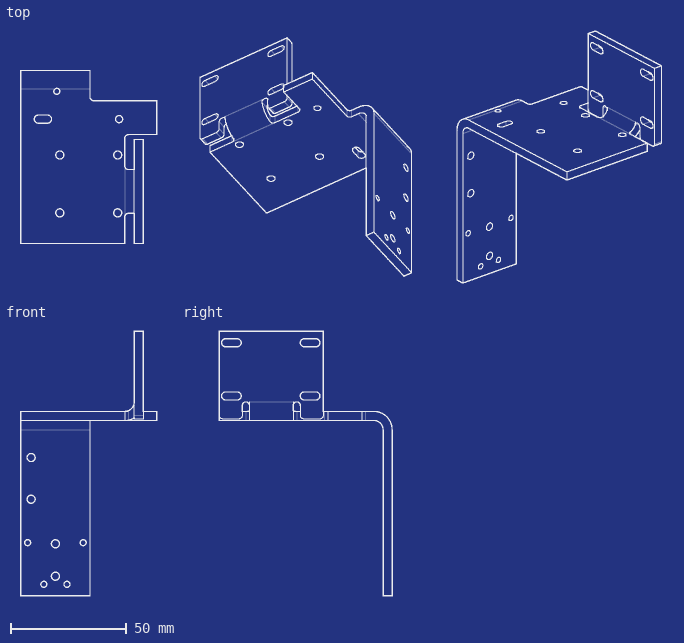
import cadquery as cq
import math

thickness = 4.0
inner_bend = 4.0
outer_bend = inner_bend + thickness
relief_radius = 1.5

plate_width = 45.0
overall_depth = 74.75
plate_top = 79.75
plate_bottom = plate_top - thickness
wing_end = 58.8
wing_front = 47.0
wing_back = 61.75

leg_width = 30.0

overall_height = 114.35
tab_length = 45.0
tab_bottom = 76.5
tab_inner = plate_width + inner_bend
tab_outer = tab_inner + thickness
strip_width = 19.0
relief_width = 2 * relief_radius
strip_start = (tab_length - strip_width) / 2
strip_end = strip_start + strip_width
relief_top = plate_top + inner_bend

screw_hole = 3.4
pin_hole = 2.5
wing_hole = 3.0

leg_center = leg_width / 2
leg_screw_points = [(4.5, 59.75), (4.5, 41.75), (leg_center, 22.5), (leg_center, 8.5)]
leg_upper_pin_z = 23.0
leg_upper_pin_offset = 12.0
leg_lower_pin_z = 5.0
leg_lower_pin_offset = 5.0

plate_hole_pitch = 25.0
plate_hole_center = (29.4, 25.75)
plate_pin_point = (15.6, 65.75)
wing_row_y = 53.75
wing_hole_x = 42.5
plate_slot_x = 9.6
plate_slot_length = 7.4

tab_slot_length = 8.4
tab_slot_pitch_y = 34.0
tab_slot_pitch_z = 23.0
tab_slot_center = (22.25, 97.85)


def make_plate():
    """Horizontal plate with its wing, up to the start of the leg bend."""
    bend_start = overall_depth - outer_bend
    outline = [
        (0, 0),
        (plate_width, 0),
        (plate_width, wing_front),
        (wing_end, wing_front),
        (wing_end, wing_back),
        (leg_width, wing_back),
        (leg_width, bend_start),
        (0, bend_start),
    ]
    plate = cq.Workplane("XY", origin=(0, 0, plate_bottom)).polyline(outline).close().extrude(thickness)
    mid_height = plate_top - thickness / 2
    for corner_x, corner_y in ((leg_width, wing_back), (plate_width, wing_front)):
        corner = cq.NearestToPointSelector((corner_x, corner_y, mid_height))
        plate = plate.edges(corner).fillet(relief_radius)
    return plate


def make_leg():
    """Quarter-round bend at the back of the plate and the flat leg below it."""
    bend_y = overall_depth - outer_bend
    bend_z = plate_top - outer_bend
    diagonal = math.sqrt(0.5)
    return (
        cq.Workplane("YZ")
        .moveTo(bend_y, plate_top)
        .threePointArc(
            (bend_y + outer_bend * diagonal, bend_z + outer_bend * diagonal),
            (overall_depth, bend_z),
        )
        .lineTo(overall_depth, 0)
        .lineTo(overall_depth - thickness, 0)
        .lineTo(overall_depth - thickness, bend_z)
        .threePointArc(
            (bend_y + inner_bend * diagonal, bend_z + inner_bend * diagonal),
            (bend_y, plate_bottom),
        )
        .close()
        .extrude(leg_width)
    )


def make_relief(center_y):
    """Cutter for one relief: a vertical notch through the tab with a round upper end."""
    round_z = relief_top - relief_radius
    notch_height = round_z - tab_bottom
    notch = cq.Workplane("XY").box(thickness, relief_width, notch_height, centered=False)
    notch = notch.translate((tab_inner, center_y - relief_radius, tab_bottom))
    round_end = (
        cq.Workplane("YZ", origin=(tab_inner, 0, 0))
        .center(center_y, round_z)
        .circle(relief_radius)
        .extrude(thickness)
    )
    return notch.union(round_end)


def make_tab():
    """Upright tab with an opening for the bend strip between two reliefs and rounded lower corners."""
    tab = cq.Workplane("XY").box(thickness, tab_length, overall_height - tab_bottom, centered=False)
    tab = tab.translate((tab_inner, 0, tab_bottom))
    opening = cq.Workplane("XY").box(thickness, strip_width, relief_top - tab_bottom, centered=False)
    tab = tab.cut(opening.translate((tab_inner, strip_start, tab_bottom)))
    for center_y in (strip_start - relief_radius, strip_end + relief_radius):
        tab = tab.cut(make_relief(center_y))
    return tab.edges("|X and <Z").fillet(relief_radius)


def make_bend_strip():
    """Curved strip joining plate and tab, flared by a fillet where it leaves the plate."""
    diagonal = math.sqrt(0.5)
    flared_width = strip_width + 2 * relief_radius
    strip = (
        cq.Workplane("XZ", origin=(0, strip_start - relief_radius, 0))
        .moveTo(plate_width, plate_top)
        .threePointArc(
            (plate_width + inner_bend * diagonal, relief_top - inner_bend * diagonal),
            (tab_inner, relief_top),
        )
        .lineTo(tab_outer, relief_top)
        .threePointArc(
            (plate_width + outer_bend * diagonal, relief_top - outer_bend * diagonal),
            (plate_width, plate_bottom),
        )
        .close()
        .extrude(-flared_width)
    )
    neck = plate_width + relief_radius
    dip = relief_radius * (1 - diagonal)
    footprint = (
        cq.Workplane("XY", origin=(0, 0, plate_bottom))
        .moveTo(plate_width, strip_start - relief_radius)
        .threePointArc((plate_width + dip, strip_start - dip), (neck, strip_start))
        .lineTo(tab_outer, strip_start)
        .lineTo(tab_outer, strip_end)
        .lineTo(neck, strip_end)
        .threePointArc((plate_width + dip, strip_end + dip), (plate_width, strip_end + relief_radius))
        .close()
        .extrude(relief_top - plate_bottom)
    )
    return strip.intersect(footprint)


def cut_leg_holes(body):
    """Screw and pin holes through the leg, pins in pairs about its centreline."""
    pin_points = []
    for side in (-1, 1):
        pin_points.append((leg_center + side * leg_upper_pin_offset, leg_upper_pin_z))
        pin_points.append((leg_center + side * leg_lower_pin_offset, leg_lower_pin_z))
    face = cq.Workplane("XZ", origin=(0, overall_depth, 0))
    body = body.cut(face.pushPoints(leg_screw_points).circle(screw_hole / 2).extrude(thickness))
    return body.cut(face.pushPoints(pin_points).circle(pin_hole / 2).extrude(thickness))


def cut_plate_holes(body):
    """Screw square, pin hole, wing hole and slot through the plate."""
    drill_depth = 2 * thickness
    face = cq.Workplane("XY", origin=(0, 0, plate_top))
    screws = (
        face.center(*plate_hole_center)
        .rarray(plate_hole_pitch, plate_hole_pitch, 2, 2)
        .circle(screw_hole / 2)
        .extrude(-drill_depth)
    )
    pin = face.pushPoints([plate_pin_point]).circle(pin_hole / 2).extrude(-drill_depth)
    wing = face.pushPoints([(wing_hole_x, wing_row_y)]).circle(wing_hole / 2).extrude(-drill_depth)
    slot = face.pushPoints([(plate_slot_x, wing_row_y)]).slot2D(plate_slot_length, screw_hole)
    slot = slot.extrude(-drill_depth)
    return body.cut(screws).cut(pin).cut(wing).cut(slot)


def cut_tab_slots(body):
    """Four horizontal slots through the tab."""
    slots = (
        cq.Workplane("YZ", origin=(tab_inner, 0, 0))
        .center(*tab_slot_center)
        .rarray(tab_slot_pitch_y, tab_slot_pitch_z, 2, 2)
        .slot2D(tab_slot_length, screw_hole)
        .extrude(thickness)
    )
    return body.cut(slots)


bracket = make_plate().union(make_leg()).union(make_bend_strip()).union(make_tab())
bracket = cut_leg_holes(bracket)
bracket = cut_plate_holes(bracket)
result = cut_tab_slots(bracket)